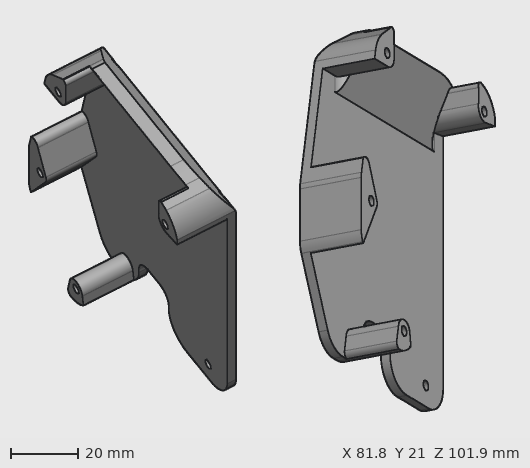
import cadquery as cq
import math

width = 81.8
height = 101.9
total_depth = 21.0
plate_depth = 3.2
top_post_depth = 20.9

corner_radius = 10.0
bottom_right_radius = 9.0
left_side_low = 28.8
left_side_high = 48.1
left_side_radius = 8.2
bottom_left_x = 14.1
notch_left = 32.9
notch_right = 49.3
notch_height = 16.5
notch_radius = 5.0
shoulder_z = 91.3

wall_left = 20.2
wall_right = 71.6
wall_end_fillet = 4.6
wall_bottom_z = 82.3
wall_overlap_z = 93.8
wall_top_inner_depth = 12.1
wall_top_outer_depth = 7.4
slope_start_z = 91.1
slope_blend_radius = 5.7

hole_diameter = 3.1
bottom_hole_z = 6.7
bottom_post_x = 26.1
hole_centers = [
    (16.0, 91.5),
    (75.1, 91.5),
    (6.2, 41.7),
    (bottom_post_x, bottom_hole_z),
    (71.2, bottom_hole_z),
]

overshoot = 5.1


def back_plane():
    """Sketch plane on the back face: local axes are X and Z, extrusion runs towards -Y."""
    return cq.Workplane("XZ", origin=(0, total_depth, 0))


def outline_prism(depth):
    """Outline of the part, extruded from the back face."""
    prism = (
        back_plane()
        .moveTo(bottom_left_x, 0)
        .lineTo(notch_left, 0)
        .lineTo(notch_left, notch_height)
        .lineTo(notch_right, notch_height)
        .lineTo(notch_right, 0)
        .lineTo(width, 0)
        .lineTo(width, shoulder_z)
        .threePointArc((79.6, 95.7), (75.6, 99.1))
        .lineTo(71.7, 100.6)
        .threePointArc((68.1, 101.5), (64.2, height))
        .lineTo(20.9, height)
        .threePointArc((19.7, 101.4), (18.6, 100.6))
        .lineTo(12.9, 96.6)
        .threePointArc((10.4, 93.9), (9.0, 90.4))
        .lineTo(0, left_side_high)
        .lineTo(0, left_side_low)
        .close()
        .extrude(depth)
    )

    def round_edges(solid, points, radius):
        for x, z in points:
            near = cq.selectors.NearestToPointSelector((x, total_depth - depth / 2, z))
            solid = solid.edges("|Y").edges(near).fillet(radius)
        return solid

    outer_corners = [(bottom_left_x, 0), (notch_left, 0), (notch_right, 0)]
    notch_corners = [(notch_left, notch_height), (notch_right, notch_height)]
    side_corners = [(0, left_side_low), (0, left_side_high)]
    prism = round_edges(prism, outer_corners, corner_radius)
    prism = round_edges(prism, [(width, 0)], bottom_right_radius)
    prism = round_edges(prism, notch_corners, notch_radius)
    return round_edges(prism, side_corners, left_side_radius)


def top_left_post():
    bottom_z = 87.4
    inner_radius = 3.8
    tip_radius = 1.3
    return (
        back_plane()
        .moveTo(0, bottom_z)
        .lineTo(wall_left - inner_radius, bottom_z)
        .radiusArc((wall_left, bottom_z + inner_radius), -inner_radius)
        .lineTo(wall_left, 99.3)
        .radiusArc((wall_left - tip_radius, 100.6), -tip_radius)
        .lineTo(wall_left - 2 * tip_radius, height)
        .lineTo(0, height)
        .close()
        .extrude(top_post_depth)
    )


def top_right_post():
    return (
        back_plane()
        .moveTo(width, 88.9)
        .lineTo(75.6, 88.2)
        .threePointArc((72.7, 89.4), (wall_right, 93.0))
        .lineTo(wall_right, 98.1)
        .threePointArc((71.9, 99.5), (73.2, 100.1))
        .lineTo(width, 97.9)
        .close()
        .extrude(top_post_depth)
    )


def left_post():
    return (
        back_plane()
        .moveTo(0, 52.3)
        .lineTo(1.1, 53.7)
        .threePointArc((2.8, 54.4), (5.0, 52.7))
        .lineTo(9.4, 43.1)
        .threePointArc((9.7, 41.9), (9.4, 40.7))
        .lineTo(1.2, 26.7)
        .lineTo(0, 26.7)
        .close()
        .extrude(total_depth)
    )


def bottom_post():
    round_radius = 3.6
    return (
        back_plane()
        .moveTo(22.9, 0)
        .threePointArc((21.8, 1.0), (21.6, 2.2))
        .lineTo(22.6, 7.2)
        .threePointArc((bottom_post_x, bottom_hole_z + round_radius), (29.6, 7.2))
        .lineTo(30.7, 0)
        .close()
        .extrude(total_depth)
    )


def top_wall():
    """Wedge with a sloping inner face; its ends flare into the plate with concave fillets.

    Above wall_overlap_z it runs on through the top posts to the outline, closing their rounded corners.
    """
    flare_depth = plate_depth + wall_end_fillet
    y_plate = total_depth - plate_depth
    y_flare = total_depth - flare_depth
    y_front = total_depth - wall_top_inner_depth
    footprint = (
        cq.Workplane("XY", origin=(0, 0, wall_bottom_z))
        .moveTo(wall_left - wall_end_fillet, total_depth)
        .lineTo(wall_left - wall_end_fillet, y_plate)
        .radiusArc((wall_left, y_flare), wall_end_fillet)
        .lineTo(wall_left, y_front)
        .lineTo(wall_right, y_front)
        .lineTo(wall_right, y_flare)
        .radiusArc((wall_right + wall_end_fillet, y_plate), wall_end_fillet)
        .lineTo(wall_right + wall_end_fillet, total_depth)
        .close()
        .extrude(height - wall_bottom_z)
    )
    slope_profile = (
        cq.Workplane("YZ")
        .polyline([
            (total_depth, wall_bottom_z),
            (y_plate, wall_bottom_z),
            (y_front, height),
            (total_depth, height),
        ])
        .close()
        .extrude(width)
    )
    upper_band = cq.Workplane("XY").box(
        width, total_depth, height - wall_overlap_z, centered=False
    ).translate((0, 0, wall_overlap_z))
    return footprint.union(upper_band).intersect(slope_profile)


def outer_slope_cut():
    """Material removed behind the sloping outer face, blended into the back face by an arc."""
    slope = math.atan2(wall_top_outer_depth, height - slope_start_z)
    tangent = slope_blend_radius * math.tan(slope / 2)
    blend_start = (total_depth, slope_start_z - tangent)
    blend_end = (
        total_depth - tangent * math.sin(slope),
        slope_start_z + tangent * math.cos(slope),
    )
    top_z = height + overshoot
    top_y = total_depth - (top_z - slope_start_z) * math.tan(slope)
    return (
        cq.Workplane("YZ", origin=(-overshoot, 0, 0))
        .moveTo(*blend_start)
        .radiusArc(blend_end, -slope_blend_radius)
        .lineTo(top_y, top_z)
        .lineTo(total_depth + overshoot, top_z)
        .lineTo(total_depth + overshoot, blend_start[1])
        .close()
        .extrude(width + 2 * overshoot)
    )


def screw_holes():
    return back_plane().pushPoints(hole_centers).circle(hole_diameter / 2).extrude(total_depth)


envelope = outline_prism(total_depth)
result = outline_prism(plate_depth)
for feature in (top_left_post(), top_right_post(), left_post(), bottom_post(), top_wall()):
    result = result.union(feature.intersect(envelope))
result = result.cut(outer_slope_cut()).cut(screw_holes())